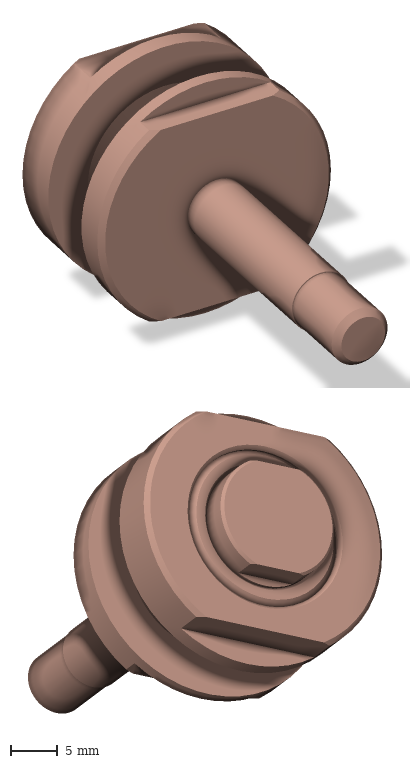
import cadquery as cq

nut_front = 3.0
nut_flat_end = 7.0
nut_back = 9.0
flange_front = 16.0
flange_flat_start = 17.5
flange_back = 20.0
shaft_step = 42.0
pin_end = 51.0

rim_radius = 29.0 / 2
flat_half_width = 12.05
barrel_radius = 9.6
neck_radius = 9.05
nut_chamfer = 0.5
flange_chamfer = 0.6
nut_countersink = 0.4
neck_chamfer = 0.65
bore_countersink = 0.4

head_radius = 6.9
head_flat_half_width = 6.05
head_chamfer = 0.3
head_back = nut_back
shaft_radius = 3.6
tip_radius = 3.45
tip_chamfer = 0.75


def cylinder(start, end, radius):
    """Solid cylinder on the X axis between two stations."""
    return cq.Workplane("YZ", origin=(start, 0, 0)).circle(radius).extrude(end - start)


def countersink(start, mouth_radius, depth):
    """45 degree conical cutter that narrows toward +X."""
    cone = cq.Solid.makeCone(
        mouth_radius, mouth_radius - depth, depth, pnt=cq.Vector(start, 0, 0), dir=cq.Vector(1, 0, 0)
    )
    return cq.Workplane(cone)


def cut_flats(body, start, end, half_width):
    """Cut two parallel flats, facing +Z and -Z, between two stations."""
    length = end - start
    cut_height = rim_radius
    for side in (1, -1):
        cutter = cq.Workplane("XY").box(length, 2 * rim_radius, cut_height)
        center = (start + length / 2, 0, side * (half_width + cut_height / 2))
        body = body.cut(cutter.translate(center))
    return body


def make_nut():
    """Flanged nut, seated on the sleeve neck against the barrel shoulder."""
    nut = cylinder(nut_front, nut_back, rim_radius).faces("<X").chamfer(nut_chamfer)
    nut = nut.cut(cylinder(nut_front, nut_back, neck_radius))
    nut = nut.cut(countersink(nut_front, neck_radius + nut_countersink, nut_countersink))
    return cut_flats(nut, nut_front, nut_flat_end, flat_half_width)


def make_sleeve():
    """Sleeve with a neck for the nut, a barrel, an end flange and a stepped bore."""
    neck = cylinder(nut_front, nut_back, neck_radius).faces("<X").chamfer(neck_chamfer)
    barrel = cylinder(nut_back, flange_front, barrel_radius)
    flange = cylinder(flange_front, flange_back, rim_radius).faces(">X").chamfer(flange_chamfer)
    flange = cut_flats(flange, flange_flat_start, flange_back, flat_half_width)
    sleeve = neck.union(barrel).union(flange)
    sleeve = sleeve.cut(cylinder(nut_front, head_back, head_radius))
    sleeve = sleeve.cut(cylinder(head_back, flange_back, shaft_radius))
    return sleeve.cut(countersink(nut_front, head_radius + bore_countersink, bore_countersink))


def make_pin():
    """Pin with a flatted head and a shaft that steps down to a chamfered tip."""
    head = cylinder(0, head_back, head_radius).faces("<X").chamfer(head_chamfer)
    head = cut_flats(head, 0, nut_front, head_flat_half_width)
    shaft = cylinder(head_back, shaft_step, shaft_radius)
    tip = cylinder(shaft_step, pin_end, tip_radius).faces(">X").chamfer(tip_chamfer)
    return head.union(shaft).union(tip)


nut = make_nut()
sleeve = make_sleeve()
pin = make_pin()

result = cq.Compound.makeCompound([nut.solids().val(), sleeve.solids().val(), pin.solids().val()])